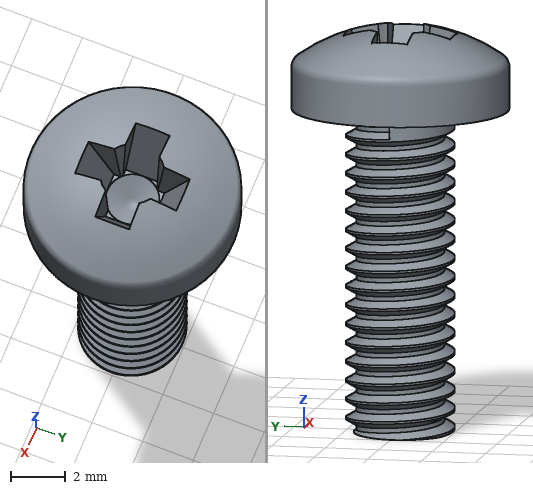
import cadquery as cq
import math


head_radius = 4.0
head_wall_height = 1.55
dome_edge_radius = 3.85
dome_edge_height = 1.86
dome_apex = 3.1

shank_radius = 2.0
shank_length = 12.0
neck_fillet = 0.18

pitch = 0.7
crest_width = pitch / 8
root_width = pitch / 4
flank_slope = math.tan(math.radians(30))
thread_depth = (pitch - crest_width - root_width) / (2 * flank_slope)
groove_start_z = -0.51
groove_turns = 17
cutter_overlap = 0.05

wing_reach = 2.01
wing_reach_height = 2.79
wing_width = 1.34
wing_slope = 0.447
recess_bottom_z = 0.52
core_bottom_radius = 0.99
core_taper = math.tan(math.radians(4.5))
core_tip_angle = 118.0
recess_top = dome_apex + 0.15


def make_head():
    """Revolve the domed head with its rounded upper edge."""
    dome_drop = dome_apex - dome_edge_height
    dome_radius = (dome_edge_radius ** 2 + dome_drop ** 2) / (2 * dome_drop)
    mid_radius = dome_edge_radius / 2
    mid_height = dome_apex - dome_radius + math.sqrt(dome_radius ** 2 - mid_radius ** 2)
    return (
        cq.Workplane("XZ")
        .lineTo(head_radius, 0)
        .lineTo(head_radius, head_wall_height)
        .tangentArcPoint((dome_edge_radius, dome_edge_height), relative=False)
        .threePointArc((mid_radius, mid_height), (0, dome_apex))
        .close()
        .revolve(360, (0, 0), (0, 1))
    )


def make_shank():
    """Revolve the plain shank, filleted where it meets the head."""
    return (
        cq.Workplane("XZ")
        .lineTo(shank_radius + neck_fillet, 0)
        .radiusArc((shank_radius, -neck_fillet), -neck_fillet)
        .lineTo(shank_radius, -shank_length)
        .lineTo(0, -shank_length)
        .close()
        .revolve(360, (0, 0), (0, 1))
    )


def make_thread_groove():
    """Sweep the groove up a right-hand helix, ending on the -X side of the neck."""
    groove_length = groove_turns * pitch
    root_radius = shank_radius - thread_depth
    outer_radius = shank_radius + cutter_overlap
    root_half = root_width / 2
    outer_half = root_half + (outer_radius - root_radius) * flank_slope
    helix = cq.Workplane(obj=cq.Wire.makeHelix(pitch, groove_length, root_radius))
    return (
        cq.Workplane("XZ")
        .polyline([
            (root_radius, -root_half),
            (outer_radius, -outer_half),
            (outer_radius, outer_half),
            (root_radius, root_half),
        ])
        .close()
        .sweep(helix, isFrenet=True)
        .rotate((0, 0, 0), (0, 0, 1), 180)
        .translate((0, 0, groove_start_z - groove_length))
    )


def make_recess():
    """Join two crossed tapering slots and a tapering core with a conical floor."""
    wing_top = wing_reach + (recess_top - wing_reach_height) * wing_slope
    wing_bottom = wing_reach - (wing_reach_height - recess_bottom_z) * wing_slope
    core_top_radius = core_bottom_radius + (recess_top - recess_bottom_z) * core_taper
    tip_depth = core_bottom_radius / math.tan(math.radians(core_tip_angle / 2))

    recess = (
        cq.Workplane("XZ")
        .moveTo(0, recess_bottom_z - tip_depth)
        .lineTo(core_bottom_radius, recess_bottom_z)
        .lineTo(core_top_radius, recess_top)
        .lineTo(0, recess_top)
        .close()
        .revolve(360, (0, 0), (0, 1))
    )
    slot = (
        cq.Workplane("XZ")
        .polyline([
            (-wing_bottom, recess_bottom_z),
            (wing_bottom, recess_bottom_z),
            (wing_top, recess_top),
            (-wing_top, recess_top),
        ])
        .close()
        .extrude(wing_width / 2, both=True)
    )
    for angle in (0, 90):
        recess = recess.union(slot.rotate((0, 0, 0), (0, 0, 1), angle))
    return recess


threaded_shank = make_shank().cut(make_thread_groove())
result = make_head().union(threaded_shank).cut(make_recess())